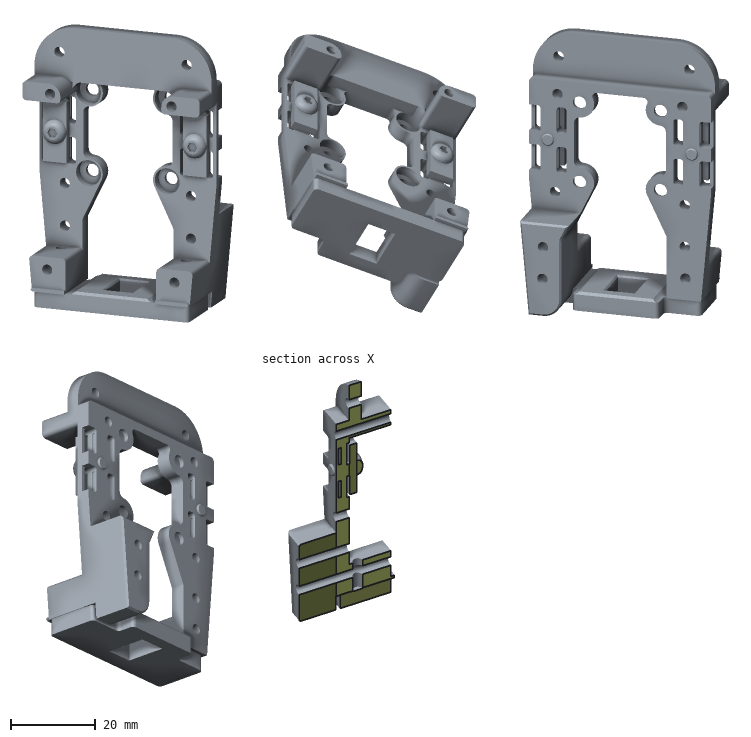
import cadquery as cq
import math

SIDES = (-1, 1)

height = 67.1
width = 45.0
half_width = width / 2
lip_front = -12.0
block_back = 13.5

leg_thick = 3.55
leg_top = 56.0
leg_corner_radius = 1.0
taper_top = 31.0
foot_bottom = 4.0
half_width_bottom = 20.05

opening_top = 53.9
waist_half_width = 11.35
lower_half_width = 11.55
lower_corner_height = 19.5
boss_radius = 3.6
boss_x = 10.0
boss_heights = (31.0, 50.9)
boss_fillet = 1.5
knee_fillet = 1.35
top_fillet = 1.0
boss_hole_diameter = 3.2
counterbore_diameter = 6.3
counterbore_depth = 2.5

head_front = -3.15
head_back = 0.2
head_radius = 10.0
arm_front = -11.1
arm_inner_x = 12.8
arm_bottom = 50.5
arm_top = 55.15
arm_radius = 1.0
arm_inner_top_radius = 3.0

foot_top = 12.6
foot_fillet = 1.0
lip_top = 4.9
lip_chamfer = 0.4
foot_hole_y = -2.15
foot_hole_xs = (-16.1, 15.65)

screw_hole_diameter = 2.55
block_holes = ((16.05, 17.45), (16.2, 9.45))
screw_holes = ((16.2, 60.85), (15.4, 52.6), (16.05, 27.9)) + block_holes

window_outer_x = 21.7
window_inner_x = 13.2
window_height = 6.65
window_bottoms = (32.75, 42.7)
window_radius = 0.75
notch_front = 1.5
bar_outer_x = 19.65
bar_inner_x = 15.65
bar_recess = 0.7
bar_recess_inset = 0.2
groove_front = 2.2
groove_width = 0.7
groove_depth = 0.2
groove_end_gap = 0.95

clamp_x = 17.8
clamp_z = 40.9
clamp_width = 6.0
clamp_height = 15.0
clamp_thick = 2.0
screw_diameter = 3.0
screw_tip = 4.0
tip_chamfer = 0.3
screw_head_diameter = 6.0
screw_head_height = 1.7
screw_head_flat = 3.3
screw_rim = 0.15
dome_bulge = 0.35
socket_diameter = 2.55
socket_depth = 1.0

base_half_width = 19.7
base_step_y = 2.55
base_back = 7.3
base_front = arm_front
base_tongue_half_width = 10.7
base_radius = 1.0
plateau_height = 0.7
plateau_flank_radius = 2.0
plateau_chamfer = 0.6
base_window_width = 7.85
base_window_front = -6.85
base_window_back = 4.3
base_window_chamfer = 0.4

block_top = 23.3
block_bottom_radius = 4.55
block_chamfer = 0.5


def xz_plane(y):
    """Sketch plane at depth y with local axes X and Z; a positive extrusion runs toward -Y."""
    return cq.Workplane("XZ", origin=(0, y, 0))


def box(x_range, y_range, z_range):
    """Box between two limits on each axis, given in any order."""
    spans = [sorted(span) for span in (x_range, y_range, z_range)]
    sizes = [high - low for low, high in spans]
    corner = cq.Vector(*[low for low, high in spans])
    return cq.Workplane(cq.Solid.makeBox(*sizes, corner))


def cylinder_y(x, z, diameter, front, back):
    """Cylinder along Y between two depths."""
    return xz_plane(back).center(x, z).circle(diameter / 2).extrude(back - front)


def circle_point(center, radius, angle):
    """Point on a circle at an angle in radians."""
    return (center[0] + radius * math.cos(angle), center[1] + radius * math.sin(angle))


def direction(start, end):
    """Angle in radians of the line from start to end."""
    return math.atan2(end[1] - start[1], end[0] - start[0])


def outer_x(z):
    """Half width of the tapered lower leg at height z."""
    slope = (half_width - half_width_bottom) / (taper_top - foot_bottom)
    return half_width - slope * (taper_top - z)


def lower_boss_tangent():
    """Point where the sloping inner edge of the right leg touches the lower boss, and its angle there."""
    center = (boss_x, boss_heights[0])
    corner = (lower_half_width, lower_corner_height)
    reach = math.dist(center, corner)
    angle = direction(center, corner) - math.acos(boss_radius / reach)
    return circle_point(center, boss_radius, angle), angle


def boss_bend(outline, center, start_angle, end_angle):
    """Continue an outline around a boss, from its current point to the end angle."""
    middle = circle_point(center, boss_radius, (start_angle + end_angle) / 2)
    end = circle_point(center, boss_radius, end_angle)
    return outline.threePointArc(middle, end)


def fillet_bend(outline, center, radius, start, end):
    """Continue an outline along the short arc of a fillet circle from start to end."""
    chord_middle = ((start[0] + end[0]) / 2, (start[1] + end[1]) / 2)
    middle = circle_point(center, radius, direction(center, chord_middle))
    return outline.threePointArc(middle, end)


def round_knee(body):
    """Round the bend where the sloping inner edge of a right leg turns vertical."""
    knee = cq.selectors.NearestToPointSelector((lower_half_width, 0, lower_corner_height))
    return body.edges("|Y").edges(knee).fillet(knee_fillet)


def leg_opening():
    """Prism that removes the space between the legs, from the feet up to the head."""
    low_boss = (boss_x, boss_heights[0])
    high_boss = (boss_x, boss_heights[1])

    top_z = opening_top - top_fillet
    top_reach = boss_radius + top_fillet
    top_center = (boss_x - math.sqrt(top_reach**2 - (top_z - high_boss[1]) ** 2), top_z)
    top_angle = direction(high_boss, top_center)
    top_start = (top_center[0], opening_top)

    waist_x = waist_half_width - boss_fillet
    waist_rise = math.sqrt((boss_radius + boss_fillet) ** 2 - (waist_x - boss_x) ** 2)
    high_center = (waist_x, high_boss[1] - waist_rise)
    low_center = (waist_x, low_boss[1] + waist_rise)
    high_angle = direction(high_boss, high_center) + 2 * math.pi
    low_angle = direction(low_boss, low_center)
    tangent_angle = lower_boss_tangent()[1] + 2 * math.pi
    waist_high = (waist_half_width, high_center[1])
    waist_low = (waist_half_width, low_center[1])

    outline = xz_plane(leg_thick).moveTo(0, opening_top).lineTo(*top_start)
    outline = fillet_bend(
        outline, top_center, top_fillet, top_start, circle_point(high_boss, boss_radius, top_angle)
    )
    outline = boss_bend(outline, high_boss, top_angle, high_angle)
    outline = fillet_bend(
        outline, high_center, boss_fillet, circle_point(high_boss, boss_radius, high_angle), waist_high
    )
    outline = outline.lineTo(*waist_low)
    outline = fillet_bend(
        outline, low_center, boss_fillet, waist_low, circle_point(low_boss, boss_radius, low_angle)
    )
    outline = boss_bend(outline, low_boss, low_angle, tangent_angle)
    outline = outline.lineTo(lower_half_width, lower_corner_height).lineTo(lower_half_width, 0).lineTo(0, 0)
    half = outline.close().extrude(leg_thick - arm_front)
    half = round_knee(half)
    return half.union(half.mirror("YZ"))


def leg_plate():
    """Tapered plate with rounded upper corners that carries both legs."""
    return (
        xz_plane(leg_thick)
        .moveTo(-half_width_bottom, foot_bottom)
        .lineTo(-half_width, taper_top)
        .lineTo(-half_width, leg_top)
        .lineTo(half_width, leg_top)
        .lineTo(half_width, taper_top)
        .lineTo(half_width_bottom, foot_bottom)
        .close()
        .extrude(leg_thick)
        .edges("|Y and >Z")
        .fillet(leg_corner_radius)
    )


def foot(side):
    """Foot block of one leg, with its thin lip at the front."""
    block = (
        xz_plane(leg_thick)
        .moveTo(side * lower_half_width, foot_bottom)
        .lineTo(side * outer_x(foot_bottom), foot_bottom)
        .lineTo(side * outer_x(foot_top), foot_top)
        .lineTo(side * lower_half_width, foot_top)
        .close()
        .extrude(leg_thick - arm_front)
        .edges("|Y and >Z")
        .fillet(foot_fillet)
    )
    x_range = (side * lower_half_width, side * half_width_bottom)
    lip = box(x_range, (lip_front, leg_thick), (foot_bottom, lip_top))
    outer_edges = "|Y and >X" if side > 0 else "|Y and <X"
    lip = lip.edges(outer_edges).chamfer(lip_chamfer)
    below_lip = box(x_range, (arm_front, leg_thick), (foot_bottom, lip_top - lip_chamfer))
    return block.cut(below_lip).union(lip)


def arm(side):
    """Forward arm beside the head plate."""
    bar = box((side * arm_inner_x, side * half_width), (arm_front, 0), (arm_bottom, arm_top))
    inner = "<X" if side > 0 else ">X"
    outer = ">X" if side > 0 else "<X"
    bar = bar.edges(f"|Y and {inner} and >Z").fillet(arm_inner_top_radius)
    bar = bar.edges(f"|Y and {outer}").fillet(arm_radius)
    return bar.edges(f"|Y and {inner} and <Z").fillet(arm_radius)


def head_plate():
    """Flat plate with large rounded corners above the legs, set forward of them."""
    return (
        box((-half_width, half_width), (head_front, head_back), (opening_top, height))
        .edges("|Y and >Z")
        .fillet(head_radius)
    )


def head_corner(side):
    """Small web between the head plate and an arm, hollowed around the upper counterbore."""
    web = box((side * boss_x, side * arm_inner_x), (head_front, 0), (boss_heights[1], opening_top))
    return web.cut(cylinder_y(side * boss_x, boss_heights[1], counterbore_diameter, head_front, 0))


def slot(side, x_range, bottom):
    """Upright rounded slot through the leg on one side of a window bar."""
    x_limits = (side * x_range[0], side * x_range[1])
    prism = box(x_limits, (0, leg_thick), (bottom, bottom + window_height))
    return prism.edges("|Y").fillet(window_radius)


def cut_window(frame, side, bottom):
    """Cut one window: two slots beside an upright grooved bar, with the outer wall open at the back."""
    z_range = (bottom, bottom + window_height)
    for x_range in ((window_inner_x, bar_inner_x), (bar_outer_x, window_outer_x)):
        frame = frame.cut(slot(side, x_range, bottom))
    notch_x = (side * (window_outer_x - window_radius), side * half_width)
    frame = frame.cut(box(notch_x, (notch_front, leg_thick), z_range))

    recess_z = (bottom + bar_recess_inset, bottom + window_height - bar_recess_inset)
    frame = frame.cut(box((side * bar_inner_x, side * bar_outer_x), (0, bar_recess), recess_z))

    groove_y = (groove_front, groove_front + groove_width)
    groove_z = (bottom + groove_end_gap, bottom + window_height - groove_end_gap)
    for face_x, floor_x in (
        (bar_inner_x, bar_inner_x + groove_depth),
        (bar_outer_x, bar_outer_x - groove_depth),
    ):
        frame = frame.cut(box((side * face_x, side * floor_x), groove_y, groove_z))
    return frame


def make_frame():
    """Frame with two legs, head plate, arms and feet, and all its holes."""
    frame = leg_plate()
    for side in SIDES:
        frame = frame.union(foot(side))
    frame = frame.cut(leg_opening())

    for side in SIDES:
        for boss_z in boss_heights:
            x = side * boss_x
            frame = frame.cut(cylinder_y(x, boss_z, counterbore_diameter, 0, counterbore_depth))
            frame = frame.cut(cylinder_y(x, boss_z, boss_hole_diameter, 0, leg_thick))

    frame = frame.union(head_plate())
    for side in SIDES:
        frame = frame.union(arm(side)).union(head_corner(side))
        for bottom in window_bottoms:
            frame = cut_window(frame, side, bottom)
        for x, z in screw_holes:
            frame = frame.cut(cylinder_y(side * x, z, screw_hole_diameter, lip_front, leg_thick))
        frame = frame.cut(cylinder_y(side * clamp_x, clamp_z, screw_diameter, 0, leg_thick))
    for x in foot_hole_xs:
        foot_hole = cq.Workplane("XY", origin=(x, foot_hole_y, foot_bottom))
        frame = frame.cut(foot_hole.circle(screw_hole_diameter / 2).extrude(foot_top - foot_bottom))
    return frame


def make_clamp_plate(side):
    """Rectangular plate on the front of one leg, drilled for its screw."""
    x = side * clamp_x
    plate = box(
        (x - clamp_width / 2, x + clamp_width / 2),
        (-clamp_thick, 0),
        (clamp_z - clamp_height / 2, clamp_z + clamp_height / 2),
    )
    return plate.cut(cylinder_y(x, clamp_z, screw_diameter, -clamp_thick, 0))


def make_screw(side):
    """Button-head screw with a hexagon socket, revolved about its own axis along Y."""
    seat = -clamp_thick
    head_front_y = seat - screw_head_height
    edge_radius = screw_head_diameter / 2
    flat_radius = screw_head_flat / 2
    shaft_radius = screw_diameter / 2
    rim_y = seat - screw_rim
    dome_middle = (
        (edge_radius + flat_radius) / 2 + dome_bulge,
        (rim_y + head_front_y) / 2 - dome_bulge / 2,
    )
    screw = (
        cq.Workplane("XY")
        .moveTo(0, head_front_y)
        .lineTo(flat_radius, head_front_y)
        .threePointArc(dome_middle, (edge_radius, rim_y))
        .lineTo(edge_radius, seat)
        .lineTo(shaft_radius, seat)
        .lineTo(shaft_radius, screw_tip - tip_chamfer)
        .lineTo(shaft_radius - tip_chamfer, screw_tip)
        .lineTo(0, screw_tip)
        .close()
        .revolve(360, (0, 0, 0), (0, 1, 0))
    )
    socket = xz_plane(head_front_y + socket_depth).polygon(6, socket_diameter).extrude(socket_depth)
    return screw.cut(socket).translate((side * clamp_x, 0, clamp_z))


def base_plateau():
    """Raised middle of the base, with concave flanks and chamfered front and back edges."""
    top = foot_bottom + plateau_height
    plateau = box(
        (-base_tongue_half_width, base_tongue_half_width), (base_front, base_back), (foot_bottom, top)
    )
    plateau = plateau.edges("|Z and >Y").fillet(base_radius)
    plateau = plateau.faces("<Y or >Y").edges(">Z").chamfer(plateau_chamfer)
    for side in SIDES:
        flank = cylinder_y(
            side * base_tongue_half_width,
            foot_bottom + plateau_flank_radius,
            2 * plateau_flank_radius,
            base_front,
            base_back,
        )
        plateau = plateau.cut(flank)
    return plateau


def make_base():
    """T-shaped foot plate with a raised middle and a chamfered window."""
    wide = box((-base_half_width, base_half_width), (base_front, base_step_y), (0, foot_bottom))
    tongue = box(
        (-base_tongue_half_width, base_tongue_half_width), (base_front, base_back), (0, foot_bottom)
    )
    base = wide.union(tongue).edges("|Z").fillet(base_radius)
    base = base.union(base_plateau())
    top = foot_bottom + plateau_height
    middle_y = (base_window_front + base_window_back) / 2
    window_length = base_window_back - base_window_front
    window = cq.Workplane("XY", origin=(0, middle_y, 0)).rect(
        base_window_width - 2 * base_window_chamfer, window_length - 2 * base_window_chamfer
    )
    base = base.cut(window.extrude(top))
    window_rim = cq.selectors.BoxSelector(
        (-base_window_width / 2, base_window_front, foot_bottom),
        (base_window_width / 2, base_window_back, top + plateau_height),
    )
    return base.edges(window_rim).chamfer(base_window_chamfer)


def make_side_block():
    """Block on the back of the right leg, following the outline of the leg."""
    tangent, _ = lower_boss_tangent()
    run = (lower_half_width - tangent[0]) / (tangent[1] - lower_corner_height)
    tip_x = lower_half_width - run * (block_top - lower_corner_height)
    block = (
        xz_plane(block_back)
        .moveTo(lower_half_width, 0)
        .lineTo(lower_half_width, lower_corner_height)
        .lineTo(tip_x, block_top)
        .lineTo(outer_x(block_top), block_top)
        .lineTo(outer_x(0), 0)
        .close()
        .extrude(block_back - leg_thick)
    )
    inner_bottom_corner = cq.selectors.NearestToPointSelector((lower_half_width, leg_thick, 0))
    block = round_knee(block)
    block = block.edges("|Y").edges(inner_bottom_corner).fillet(block_bottom_radius)
    block = block.faces(">Y").chamfer(block_chamfer)
    for x, z in block_holes:
        block = block.cut(cylinder_y(x, z, screw_hole_diameter, leg_thick, block_back))
    return block


frame = make_frame()
base = make_base()
side_block = make_side_block()
clamp_plates = [make_clamp_plate(side) for side in SIDES]
screws = [make_screw(side) for side in SIDES]

result = cq.Compound.makeCompound(
    [frame.val(), base.val(), side_block.val()]
    + [plate.val() for plate in clamp_plates]
    + [screw.val() for screw in screws]
)